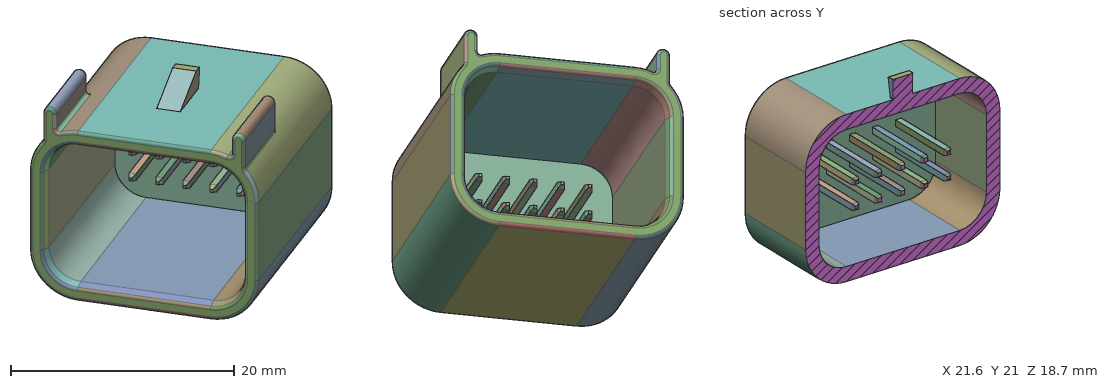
import cadquery as cq

body_width = 21.55
body_height = 16.7
body_depth = 21.0
total_height = 18.7
corner_radius = 4.5
edge_fillet = 0.3

mouth_wall = 1.2
throat_wall = 1.5
floor_wall = 1.57
lead_in_depth = 1.0
floor_thickness = throat_wall
floor_y = body_depth - floor_thickness

rib_center_x = 8.9
rib_width = 1.2
rib_length = 8.6

latch_width = 2.22
latch_ramp_start = 7.0
latch_flat_start = 11.55
latch_flat_end = 12.54
latch_base_end = 12.2
latch_corner_fillet = 0.13

pin_columns = 5
pin_rows = 2
pin_pitch = 2.55
pin_width = 0.65
pin_tip_width = 0.28
pin_tip_length = 0.6
pin_length = 7.97

joint_overlap = 0.22


def rounded_outline(inset):
    """Rounded-rectangle outline of the body, moved inward by inset."""
    outline = cq.Sketch().rect(body_width - 2 * inset, body_height - 2 * inset)
    return outline.vertices().fillet(corner_radius - inset)


def plane_at_depth(y):
    """Workplane centered on the body at depth y; its normal is -Y, so extrusions inward are negative."""
    return cq.Workplane("XZ", origin=(0, y, body_height / 2))


def make_rib(side):
    """Round-topped guide rib; side is -1 for left and 1 for right."""
    base_z = body_height - corner_radius
    round_z = total_height - rib_width / 2
    inner_x = side * (rib_center_x - rib_width / 2)
    outer_x = side * (rib_center_x + rib_width / 2)
    return (
        cq.Workplane("XZ")
        .moveTo(inner_x, base_z)
        .lineTo(inner_x, round_z)
        .threePointArc((side * rib_center_x, total_height), (outer_x, round_z))
        .lineTo(outer_x, base_z)
        .close()
        .extrude(-rib_length)
    )


def make_solid_body():
    """Body block with both ribs, rounded where the ribs meet the corner surfaces."""
    body = plane_at_depth(0).placeSketch(rounded_outline(0)).extrude(-body_depth)
    for side in (-1, 1):
        body = body.union(make_rib(side))

    rib_middle = rib_length / 2
    root_zone = cq.selectors.BoxSelector(
        (-body_width, rib_middle - edge_fillet, 0),
        (body_width, rib_middle + edge_fillet, body_height),
    )
    return body.edges("|Y").edges(root_zone).fillet(edge_fillet)


def make_tapered_core(start_y, end_y, start_wall, end_wall):
    """Stretch of the cavity between two depths, with the wall thickness given at each end."""
    start = rounded_outline(start_wall)
    end = rounded_outline(end_wall).moved(cq.Location((0, 0, start_y - end_y)))
    return plane_at_depth(start_y).placeSketch(start, end).loft()


def make_cavity():
    lead_in = make_tapered_core(0, lead_in_depth, mouth_wall, throat_wall)
    main_bore = make_tapered_core(lead_in_depth, floor_y, throat_wall, floor_wall)
    return lead_in.union(main_bore)


def make_latch():
    """Wedge that rises toward the back and ends in an undercut catch face."""
    root_z = body_height - joint_overlap
    profile = [
        (latch_ramp_start, body_height),
        (latch_flat_start, total_height),
        (latch_flat_end, total_height),
        (latch_base_end, body_height),
        (latch_base_end, root_z),
        (latch_ramp_start, root_z),
    ]
    latch = cq.Workplane("YZ").polyline(profile).close().extrude(latch_width / 2, both=True)
    return latch.edges("|X").edges(">Y").fillet(latch_corner_fillet)


def make_pin(x, z):
    """Square pin with a tapered tip; x and z are measured from the center of the body."""
    shank_length = pin_length - pin_tip_length
    base = plane_at_depth(floor_y - shank_length).center(x, z)
    shank = base.rect(pin_width, pin_width).extrude(-(shank_length + joint_overlap))
    tip = (
        base.rect(pin_width, pin_width)
        .workplane(offset=pin_tip_length)
        .rect(pin_tip_width, pin_tip_width)
        .loft()
    )
    return shank.union(tip)


housing = make_solid_body().cut(make_cavity())
housing = housing.faces("<Y").edges().fillet(edge_fillet)
result = housing.union(make_latch())
for column in range(pin_columns):
    for row in range(pin_rows):
        pin_x = (column - (pin_columns - 1) / 2) * pin_pitch
        pin_z = (row - (pin_rows - 1) / 2) * pin_pitch
        result = result.union(make_pin(pin_x, pin_z))